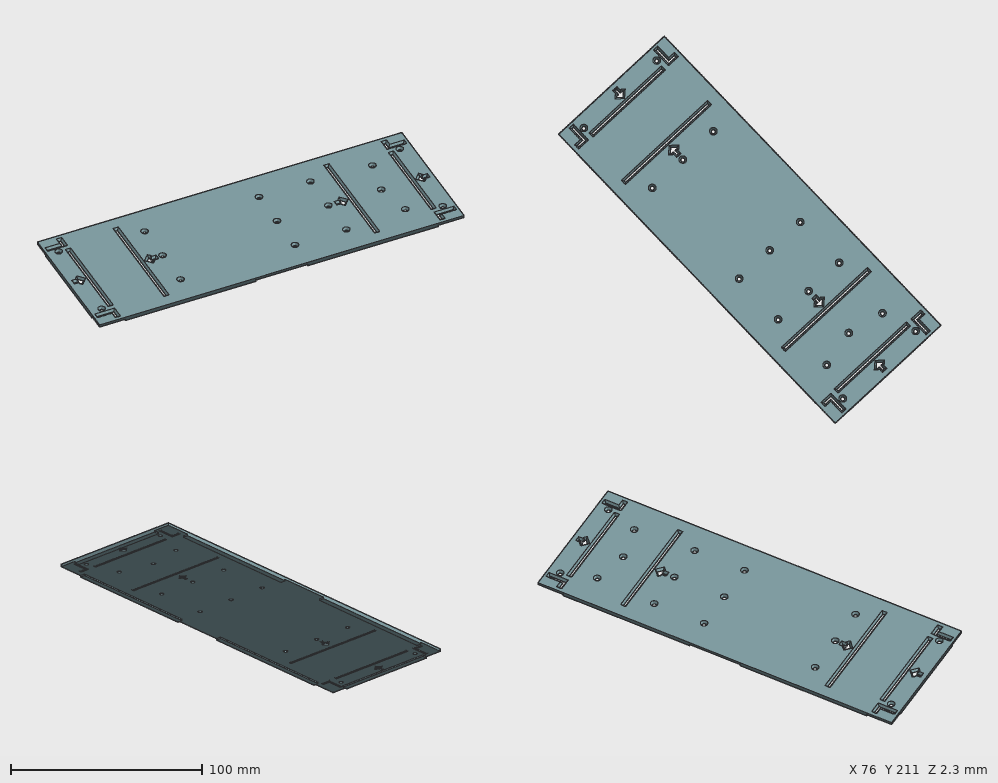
import cadquery as cq

WIDTH = 76.0
LENGTH = 211.0
TOTAL_HEIGHT = 2.3
RIB_HEIGHT = 0.8
PLATE_THICKNESS = TOTAL_HEIGHT - RIB_HEIGHT

RIB_WIDTH = 3.0
END_RIB_LENGTH = 56.5
SIDE_RIB_LENGTH = 75.5
SIDE_RIB_GAP = 30.0

FLARE = 1.0

HOLE_DIAMETER = 2.0
MIDDLE_HOLES_Y = [75.5, 45.0, 15.2, -51.0]
PAIRED_HOLES = [
    (26.2, 98.7),
    (20.0, 80.0),
    (22.0, 45.0),
    (22.0, 15.2),
    (22.0, -51.0),
    (26.2, -98.7),
]

SLOT_WIDTH = 1.0
SHORT_SLOT_LENGTH = 50.0
LONG_SLOT_LENGTH = 60.0
SLOTS = [
    (93.5, SHORT_SLOT_LENGTH, 1),
    (58.5, LONG_SLOT_LENGTH, -1),
    (-63.5, LONG_SLOT_LENGTH, 1),
    (-93.5, SHORT_SLOT_LENGTH, -1),
]

CORNER_SLOT_X = 29.8
CORNER_SLOT_Y = 93.5
CORNER_LEG_X = 5.0
CORNER_LEG_Y = 9.5

ARROW_TIP_OFFSET = 3.4
HEAD_LENGTH = 2.5
HEAD_WIDTH = 4.6
HEAD_CORNER_CUT = 0.5
SHAFT_LENGTH = 2.5
SHAFT_WIDTH = 1.0


def flared(points):
    """Cutter for an opening with the given outline at the plate's bottom face."""
    bottom = cq.Workplane().workplane(offset=RIB_HEIGHT).polyline(points).close().val()
    top = bottom.offset2D(FLARE, "intersection")[0].translate(cq.Vector(0, 0, PLATE_THICKNESS))
    return cq.Workplane(cq.Solid.makeLoft([bottom, top], True))


def flared_hole(x, y):
    radius = HOLE_DIAMETER / 2
    base = cq.Vector(x, y, RIB_HEIGHT)
    return cq.Workplane(cq.Solid.makeCone(radius, radius + FLARE, PLATE_THICKNESS, base))


def straight_slot(y, length):
    x_end = length / 2
    y_low = y - SLOT_WIDTH / 2
    y_high = y + SLOT_WIDTH / 2
    return flared([(-x_end, y_low), (x_end, y_low), (x_end, y_high), (-x_end, y_high)])


def arrow(slot_y, side):
    """Arrow on the given side in Y of a slot, pointing at it."""
    tip = slot_y + side * ARROW_TIP_OFFSET
    shoulder = tip + side * HEAD_LENGTH
    tail = shoulder + side * SHAFT_LENGTH
    head_x = HEAD_WIDTH / 2
    shaft_x = SHAFT_WIDTH / 2
    return flared([
        (0, tip),
        (head_x, shoulder - side * HEAD_CORNER_CUT),
        (head_x - HEAD_CORNER_CUT, shoulder),
        (shaft_x, shoulder),
        (shaft_x, tail),
        (-shaft_x, tail),
        (-shaft_x, shoulder),
        (HEAD_CORNER_CUT - head_x, shoulder),
        (-head_x, shoulder - side * HEAD_CORNER_CUT),
    ])


def corner_slot(x_side, y_side):
    """L-shaped slot with its legs running outward from its inner corner."""
    outline = [
        (0, 0),
        (CORNER_LEG_X, 0),
        (CORNER_LEG_X, SLOT_WIDTH),
        (SLOT_WIDTH, SLOT_WIDTH),
        (SLOT_WIDTH, CORNER_LEG_Y),
        (0, CORNER_LEG_Y),
    ]
    return flared([(x_side * (CORNER_SLOT_X + x), y_side * (CORNER_SLOT_Y + y)) for x, y in outline])


def rib(size_x, size_y, x, y):
    return cq.Workplane().box(size_x, size_y, TOTAL_HEIGHT, centered=(True, True, False)).translate((x, y, 0))


result = (
    cq.Workplane()
    .workplane(offset=RIB_HEIGHT)
    .box(WIDTH, LENGTH, PLATE_THICKNESS, centered=(True, True, False))
)
end_rib_y = (LENGTH - RIB_WIDTH) / 2
side_rib_x = (WIDTH - RIB_WIDTH) / 2
side_rib_y = (SIDE_RIB_GAP + SIDE_RIB_LENGTH) / 2
for y_side in (-1, 1):
    result = result.union(rib(END_RIB_LENGTH, RIB_WIDTH, 0, y_side * end_rib_y))
    for x_side in (-1, 1):
        result = result.union(rib(RIB_WIDTH, SIDE_RIB_LENGTH, x_side * side_rib_x, y_side * side_rib_y))

for y in MIDDLE_HOLES_Y:
    result = result.cut(flared_hole(0, y))
for x, y in PAIRED_HOLES:
    for x_side in (-1, 1):
        result = result.cut(flared_hole(x_side * x, y))

for y, length, arrow_side in SLOTS:
    result = result.cut(straight_slot(y, length))
    result = result.cut(arrow(y, arrow_side))
for x_side in (-1, 1):
    for y_side in (-1, 1):
        result = result.cut(corner_slot(x_side, y_side))